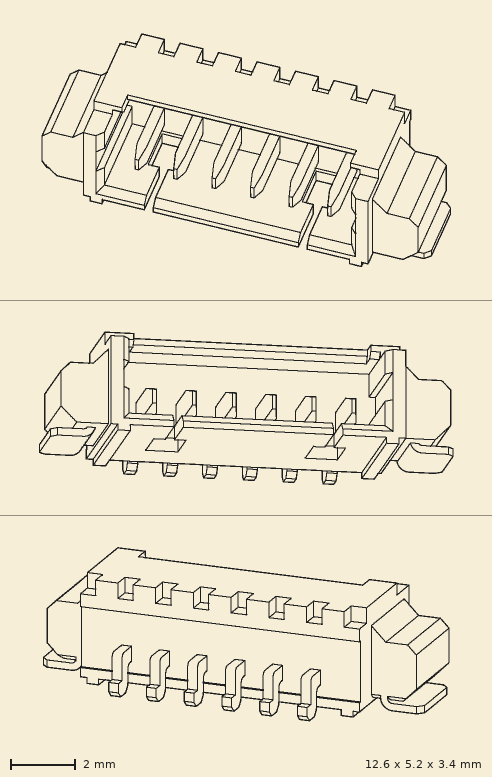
import cadquery as cq


HOUSING_HALF = 4.63
HOUSING_DEPTH = 4.19
HOUSING_TOP = 3.4
HOUSING_BOTTOM = 0.19
REAR_RECESS_DEPTH = 0.09
REAR_RECESS_BOTTOM = 0.49
REAR_RECESS_TOP = 2.48
FOOT_INNER = 4.02
FOOT_OUTER = 4.41

CAVITY_HALF = 4.02
CAVITY_BACK = 2.96
FLOOR_TOP = 0.62
CEILING = 3.01
SIDE_GROOVE_DEPTH = 0.2
SIDE_GROOVE_BOTTOM = 1.4
SIDE_GROOVE_TOP = 2.28
MOUTH_CHAMFER_DEPTH = 0.23

ROOF_FRONT = 1.02
ROOF_WINDOW_FRONT = 1.6
ROOF_WINDOW_HALF = 3.72
ROOF_CHAMFER = 0.19

NOTCH_WIDTH = 0.5
NOTCH_LENGTH = 0.6
NOTCH_HEIGHT = 0.5

SLOT_WIDTH = 0.29
OPENING_WIDTH = 1.01
OPENING_FRONT = 1.48
OPENING_BACK = 2.85

PIN_COUNT = 6
PIN_PITCH = 1.25
PIN_WIDTH = 0.33
BLADE_BOTTOM = 0.96
BLADE_HEIGHT = 0.76
BLADE_SHOULDER = 1.23
BLADE_TIP = 0.72
BLADE_BACK = 3.54
TIP_WIDTH = 0.11
TIP_HEIGHT = 0.44
TAIL_END = 5.2
TAIL_THICKNESS = 0.49
TAIL_TOP = 1.37
TAIL_DROP_BACK = 4.9
TAIL_TOE_CHAMFER = 0.19
TAIL_BEND_RADIUS = 0.15

EAR_FRONT = 0.42
EAR_BACK = 3.19
EAR_BOTTOM = 0.3
EAR_OUTER = 6.12
EAR_TOP = 2.21
EAR_ROOT_TOP = 2.7
EAR_SHOULDER = 5.11
EAR_TOP_CHAMFER = 0.29
EAR_BOTTOM_CHAMFER = 0.49
EAR_REAR_CHAMFER = 0.15
NAIL_OUTER = 6.32
NAIL_INNER = 4.93
NAIL_FRONT = 0.92
NAIL_THICKNESS = 0.24
NAIL_BEND_RADIUS = 0.15
NAIL_TOP = 1.01
NAIL_CORNER_CHAMFER = 0.19

CLEARANCE = 0.13

pin_positions = [(i - (PIN_COUNT - 1) / 2) * PIN_PITCH for i in range(PIN_COUNT)]


def box(x0, x1, y0, y1, z0, z1):
    return cq.Workplane("XY").box(x1 - x0, y1 - y0, z1 - z0, centered=False).translate((x0, y0, z0))


def mirrored_pair(solid):
    return solid.union(solid.mirror("YZ"))


def tapered_block(half_0, bottom_0, top_0, y0, half_1, bottom_1, top_1, y1):
    """Rectangle in the plane y0 blended into a rectangle in the plane y1."""
    middle_0 = (bottom_0 + top_0) / 2
    middle_1 = (bottom_1 + top_1) / 2
    return (
        cq.Workplane("XZ", origin=(0, y0, middle_0))
        .rect(2 * half_0, top_0 - bottom_0)
        .workplane(offset=y0 - y1)
        .center(0, middle_1 - middle_0)
        .rect(2 * half_1, top_1 - bottom_1)
        .loft(ruled=True)
    )


def roof_lip_cut(half_width, front):
    """Clear the housing ahead of a roof edge and chamfer the underside of that edge."""
    past_top = HOUSING_TOP + CLEARANCE
    chamfer_top = CEILING + ROOF_CHAMFER
    return (
        cq.Workplane("YZ", origin=(-half_width, 0, 0))
        .moveTo(-CLEARANCE, CEILING)
        .lineTo(front + ROOF_CHAMFER, CEILING)
        .lineTo(front, chamfer_top)
        .lineTo(front, past_top)
        .lineTo(-CLEARANCE, past_top)
        .close()
        .extrude(2 * half_width)
    )


def make_shell():
    shell = box(-HOUSING_HALF, HOUSING_HALF, 0, HOUSING_DEPTH, HOUSING_BOTTOM, HOUSING_TOP)
    feet = mirrored_pair(box(FOOT_INNER, FOOT_OUTER, 0, HOUSING_DEPTH, 0, HOUSING_BOTTOM))
    rear_recess = box(
        -HOUSING_HALF, HOUSING_HALF,
        HOUSING_DEPTH - REAR_RECESS_DEPTH, HOUSING_DEPTH,
        REAR_RECESS_BOTTOM, REAR_RECESS_TOP,
    )
    return shell.union(feet).cut(rear_recess)


def cut_cavity(housing):
    groove_half = CAVITY_HALF + SIDE_GROOVE_DEPTH
    cavity = box(-CAVITY_HALF, CAVITY_HALF, 0, CAVITY_BACK, FLOOR_TOP, CEILING)
    grooves = box(-groove_half, groove_half, 0, CAVITY_BACK, SIDE_GROOVE_BOTTOM, SIDE_GROOVE_TOP)
    mouth = tapered_block(
        groove_half, FLOOR_TOP - MOUTH_CHAMFER_DEPTH, CEILING, 0,
        CAVITY_HALF, FLOOR_TOP, CEILING, MOUTH_CHAMFER_DEPTH,
    )
    return housing.cut(cavity).cut(grooves).cut(mouth)


def cut_roof_edge(housing):
    past_side = HOUSING_HALF + CLEARANCE
    front_step = box(
        -past_side, past_side, -CLEARANCE, ROOF_FRONT, CEILING, HOUSING_TOP + CLEARANCE
    )
    outer_lip = roof_lip_cut(CAVITY_HALF, ROOF_FRONT)
    window = roof_lip_cut(ROOF_WINDOW_HALF, ROOF_WINDOW_FRONT)
    return housing.cut(front_step).cut(outer_lip).cut(window)


def cut_rear_notches(housing):
    corner = HOUSING_HALF - NOTCH_WIDTH / 2
    for x in [-corner, *pin_positions, corner]:
        housing = housing.cut(box(
            x - NOTCH_WIDTH / 2, x + NOTCH_WIDTH / 2,
            HOUSING_DEPTH - NOTCH_LENGTH, HOUSING_DEPTH,
            HOUSING_TOP - NOTCH_HEIGHT, HOUSING_TOP,
        ))
    return housing


def cut_floor_openings(housing):
    x = (pin_positions[-1] + pin_positions[-2]) / 2
    slot = box(
        x - SLOT_WIDTH / 2, x + SLOT_WIDTH / 2,
        -CLEARANCE, OPENING_BACK, HOUSING_BOTTOM, FLOOR_TOP,
    )
    opening = box(
        x - OPENING_WIDTH / 2, x + OPENING_WIDTH / 2,
        OPENING_FRONT, OPENING_BACK, HOUSING_BOTTOM, FLOOR_TOP,
    )
    return housing.cut(mirrored_pair(slot.union(opening)))


def make_pin():
    """One pin at x = 0: tapered blade in the cavity and bent solder tail behind."""
    blade_top = BLADE_BOTTOM + BLADE_HEIGHT
    tip_bottom = BLADE_BOTTOM + (BLADE_HEIGHT - TIP_HEIGHT) / 2
    blade = box(
        -PIN_WIDTH / 2, PIN_WIDTH / 2, BLADE_SHOULDER, BLADE_BACK, BLADE_BOTTOM, blade_top
    )
    tip = tapered_block(
        TIP_WIDTH / 2, tip_bottom, tip_bottom + TIP_HEIGHT, BLADE_TIP,
        PIN_WIDTH / 2, BLADE_BOTTOM, blade_top, BLADE_SHOULDER,
    )
    drop_front = TAIL_DROP_BACK - TAIL_THICKNESS
    arm_bottom = TAIL_TOP - TAIL_THICKNESS
    inner_bend_start = drop_front - TAIL_BEND_RADIUS
    tail_start = CAVITY_BACK + CLEARANCE
    tail = (
        cq.Workplane("YZ", origin=(-PIN_WIDTH / 2, 0, 0))
        .moveTo(tail_start, TAIL_TOP)
        .lineTo(TAIL_DROP_BACK - TAIL_BEND_RADIUS, TAIL_TOP)
        .radiusArc((TAIL_DROP_BACK, TAIL_TOP - TAIL_BEND_RADIUS), TAIL_BEND_RADIUS)
        .lineTo(TAIL_DROP_BACK, TAIL_THICKNESS)
        .lineTo(TAIL_END, TAIL_THICKNESS)
        .lineTo(TAIL_END, TAIL_TOE_CHAMFER)
        .lineTo(TAIL_END - TAIL_TOE_CHAMFER, 0)
        .lineTo(drop_front + TAIL_TOE_CHAMFER, 0)
        .lineTo(drop_front, TAIL_TOE_CHAMFER)
        .lineTo(drop_front, arm_bottom - TAIL_BEND_RADIUS)
        .radiusArc((inner_bend_start, arm_bottom), -TAIL_BEND_RADIUS)
        .lineTo(tail_start, arm_bottom)
        .close()
        .extrude(PIN_WIDTH)
    )
    return blade.union(tip).union(tail)


def make_ear():
    """Ear on the +X side, with its lower rear edge bevelled."""
    return (
        cq.Workplane("XZ", origin=(0, EAR_BACK, 0))
        .moveTo(HOUSING_HALF, EAR_BOTTOM)
        .lineTo(EAR_OUTER - EAR_BOTTOM_CHAMFER, EAR_BOTTOM)
        .lineTo(EAR_OUTER, EAR_BOTTOM + EAR_BOTTOM_CHAMFER)
        .lineTo(EAR_OUTER, EAR_TOP - EAR_TOP_CHAMFER)
        .lineTo(EAR_OUTER - EAR_TOP_CHAMFER, EAR_TOP)
        .lineTo(EAR_SHOULDER, EAR_TOP)
        .lineTo(HOUSING_HALF, EAR_ROOT_TOP)
        .close()
        .extrude(EAR_BACK - EAR_FRONT)
        .faces("<Z")
        .edges(">Y")
        .chamfer(EAR_REAR_CHAMFER)
    )


def make_nail():
    """Bent sheet-metal solder nail on the +X side, its leg buried in the ear."""
    outer_radius = NAIL_BEND_RADIUS + NAIL_THICKNESS
    bend_x = NAIL_INNER + outer_radius
    leg_outer = NAIL_INNER + NAIL_THICKNESS
    return (
        cq.Workplane("XZ", origin=(0, EAR_BACK, 0))
        .moveTo(NAIL_OUTER, 0)
        .lineTo(bend_x, 0)
        .radiusArc((NAIL_INNER, outer_radius), outer_radius)
        .lineTo(NAIL_INNER, NAIL_TOP)
        .lineTo(leg_outer, NAIL_TOP)
        .lineTo(leg_outer, outer_radius)
        .radiusArc((bend_x, NAIL_THICKNESS), -NAIL_BEND_RADIUS)
        .lineTo(NAIL_OUTER, NAIL_THICKNESS)
        .close()
        .extrude(EAR_BACK - NAIL_FRONT)
        .faces(">X")
        .edges("|Z")
        .chamfer(NAIL_CORNER_CHAMFER)
    )


result = make_shell()
result = cut_cavity(result)
result = cut_roof_edge(result)
result = cut_rear_notches(result)
result = cut_floor_openings(result)
result = result.union(mirrored_pair(make_ear().union(make_nail())))
pin = make_pin()
for pin_x in pin_positions:
    result = result.union(pin.translate((pin_x, 0, 0)))